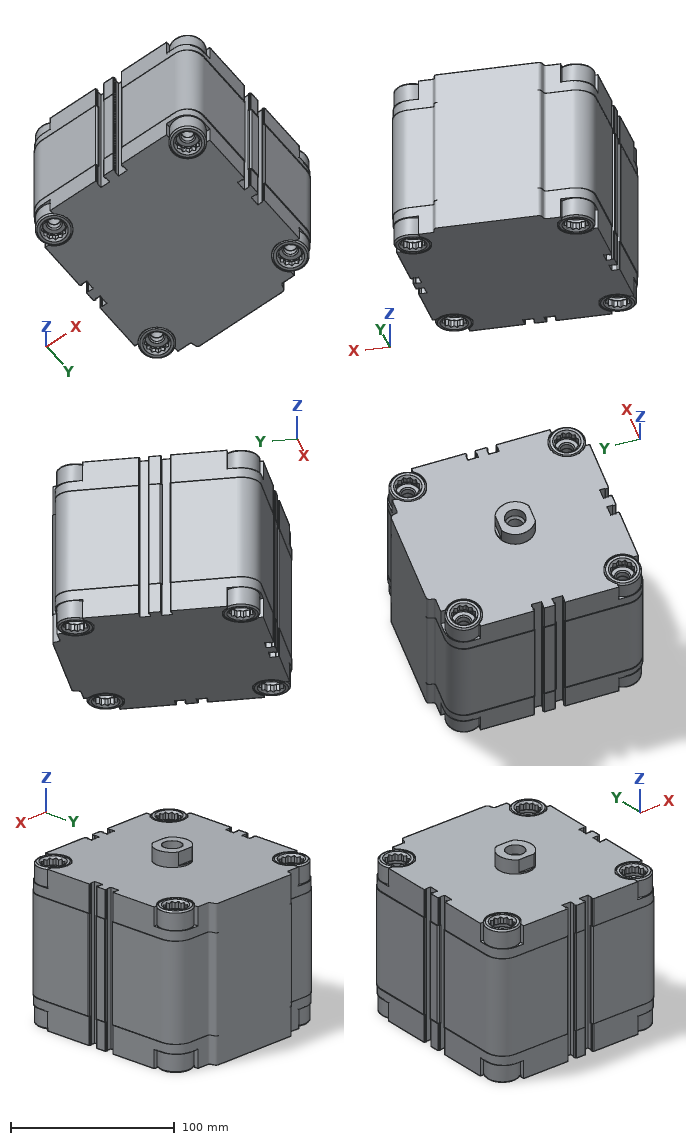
import cadquery as cq
import math

HOUSING_HEIGHT = 106.5
CAP_HEIGHT = 19.3
TUBE_HEIGHT = HOUSING_HEIGHT - 2 * CAP_HEIGHT

TUBE_HALF_X = 64.0
TUBE_HALF_Y = 63.8
CAP_HALF_X = 63.5
CAP_HALF_Y = 64.0
SCREW_OFFSET = 51.5
CORNER_RADIUS = 12.5

PAD_FACE_Y = 69.0
PAD_BASE_HALF = 34.8
PAD_TOP_HALF = 33.5
PAD_FOOT_RADIUS = 1.5
TUBE_PAD_RADIUS = 1.5
CAP_PAD_RADIUS = 2.1

SLOT_FLOOR = 58.3
LIP_BACK = 61.7
POCKET_INNER = 3.5
POCKET_OUTER = 10.1

WIDE_MOUTH = (4, 9.6)
OUTER_LIP_MOUTH = (4, 9.0)
INNER_LIP_MOUTH = (4.5, 9.6)

HEAD_DIAMETER = 23.0
HEAD_CHAMFER = 1.0
HEAD_HEIGHT = 12.6
CORNER_RECESS = 6.6
SOCKET_MOUTH_DIAMETER = 17.3
SOCKET_TIP_DIAMETER = 15.4
SOCKET_POINTS = 12
SOCKET_DEPTH = 5.7
SOCKET_FLOOR_DEPTH = 7.8
COUNTERSINK_DIAMETER = 10.1
HEAD_HOLE_DIAMETER = 8.4
SCREW_HOLE_DIAMETER = 8

ROD_DIAMETER = 25.0
ROD_PROJECTION = 10.0
ROD_DEPTH = CAP_HEIGHT
ROD_ACROSS_FLATS = 22.0
FLAT_CLEARANCE = 1.0
ROD_BORE_DIAMETER = 13.0
ROD_BORE_DEPTH = 6.4
ROD_HOLE_DIAMETER = 10.1
ROD_HOLE_DEPTH = 21.3
DRILL_POINT_ANGLE = 118

EXTRA = 1.3


def cone(bottom_radius, top_radius, height, bottom_z):
    solid = cq.Solid.makeCone(bottom_radius, top_radius, height, cq.Vector(0, 0, bottom_z))
    return cq.Workplane(obj=solid)


def disc(diameter, bottom_z, height):
    return cq.Workplane().workplane(offset=bottom_z).circle(diameter / 2).extrude(height)


def pad(base_y, top_radius, height):
    """Raised pad on the +Y side, with sloping flanks and rounded edges."""
    block = (
        cq.Workplane()
        .polyline([
            (-PAD_BASE_HALF, base_y),
            (-PAD_TOP_HALF, PAD_FACE_Y),
            (PAD_TOP_HALF, PAD_FACE_Y),
            (PAD_BASE_HALF, base_y),
            (PAD_BASE_HALF, 0),
            (-PAD_BASE_HALF, 0),
        ])
        .close()
        .extrude(height)
    )
    return block.edges("|Z and >Y").fillet(top_radius)


def slot(half_width, mouth, height):
    """T-slot in the -Y side, right of the center line, with rounded lips at its mouth."""
    inner, outer = mouth
    inner_radius = inner - POCKET_INNER
    outer_radius = POCKET_OUTER - outer
    face = -half_width
    outside = face - EXTRA
    return (
        cq.Workplane()
        .moveTo(POCKET_INNER, outside)
        .lineTo(POCKET_INNER, face)
        .radiusArc((inner, face + inner_radius), inner_radius)
        .lineTo(inner, -LIP_BACK)
        .lineTo(POCKET_INNER, -LIP_BACK)
        .lineTo(POCKET_INNER, -SLOT_FLOOR)
        .lineTo(POCKET_OUTER, -SLOT_FLOOR)
        .lineTo(POCKET_OUTER, -LIP_BACK)
        .lineTo(outer, -LIP_BACK)
        .lineTo(outer, face + outer_radius)
        .radiusArc((POCKET_OUTER, face), outer_radius)
        .lineTo(POCKET_OUTER, outside)
        .close()
        .extrude(height)
    )


def section(half_x, half_y, corner_radius, pad_radius, front_mouth, side_mouths, height):
    """A length of the housing profile: rounded square, pad and slots."""
    profile = (
        cq.Workplane()
        .rect(2 * half_x, 2 * half_y)
        .extrude(height)
        .edges("|Z")
        .fillet(corner_radius)
        .union(pad(half_y, pad_radius, height))
    )
    for side in (-1, 1):
        foot = cq.selectors.NearestToPointSelector((side * PAD_BASE_HALF, half_y, height / 2))
        profile = profile.edges("|Z").edges(foot).fillet(PAD_FOOT_RADIUS)
    front_slot = slot(half_y, front_mouth, height)
    profile = profile.cut(front_slot).cut(front_slot.mirror("YZ"))
    for side, mouth in zip((-1, 1), side_mouths):
        right_slot = slot(half_x, mouth, height).rotate((0, 0, 0), (0, 0, 1), 90)
        if side < 0:
            right_slot = right_slot.mirror("XZ")
        profile = profile.cut(right_slot).cut(right_slot.mirror("YZ"))
    return profile


def corner_recess():
    """Space around a screw head at the (+X, +Y) corner of the top cap."""
    size = TUBE_HALF_X - SCREW_OFFSET + CORNER_RECESS + EXTRA
    start = SCREW_OFFSET - CORNER_RECESS
    floor_z = HOUSING_HEIGHT - HEAD_HEIGHT
    bore = disc(HEAD_DIAMETER, floor_z, HEAD_HEIGHT).translate((SCREW_OFFSET, SCREW_OFFSET, 0))
    box = cq.Workplane().box(size, size, HEAD_HEIGHT, centered=False).translate((start, start, floor_z))
    return bore.union(box)


def socket():
    """Twelve-point socket with a bevelled mouth and a countersunk floor hole."""
    tip_radius = SOCKET_TIP_DIAMETER / 2
    valley_radius = tip_radius * math.cos(math.radians(30)) / math.cos(math.radians(15))
    points = []
    for i in range(2 * SOCKET_POINTS):
        angle = math.pi * i / SOCKET_POINTS
        radius = tip_radius if i % 2 == 0 else valley_radius
        points.append((radius * math.cos(angle), radius * math.sin(angle)))
    top = HOUSING_HEIGHT
    star = cq.Workplane().workplane(offset=top - SOCKET_DEPTH).polyline(points).close().extrude(SOCKET_DEPTH)
    mouth_radius = SOCKET_MOUTH_DIAMETER / 2
    bevel = mouth_radius - valley_radius
    mouth = cone(valley_radius, mouth_radius, bevel, top - bevel)
    floor_z = top - SOCKET_FLOOR_DEPTH
    floor = disc(SOCKET_TIP_DIAMETER, floor_z, SOCKET_FLOOR_DEPTH - SOCKET_DEPTH)
    sink = (COUNTERSINK_DIAMETER - HEAD_HOLE_DIAMETER) / 2
    countersink = cone(HEAD_HOLE_DIAMETER / 2, COUNTERSINK_DIAMETER / 2, sink, floor_z - sink)
    hole = disc(HEAD_HOLE_DIAMETER, top - HEAD_HEIGHT, HEAD_HEIGHT)
    return star.union(mouth).union(floor).union(countersink).union(hole)


def screw_head():
    """Chamfered screw head, flush with the top face."""
    head = disc(HEAD_DIAMETER, HOUSING_HEIGHT - HEAD_HEIGHT, HEAD_HEIGHT)
    return head.faces(">Z").edges().chamfer(HEAD_CHAMFER).cut(socket())


def rod_blank():
    return disc(ROD_DIAMETER, HOUSING_HEIGHT - ROD_DEPTH, ROD_DEPTH + ROD_PROJECTION)


def make_housing():
    cap = section(CAP_HALF_X, CAP_HALF_Y, CORNER_RADIUS, CAP_PAD_RADIUS,
                  WIDE_MOUTH, (WIDE_MOUTH, WIDE_MOUTH), CAP_HEIGHT)
    tube = section(TUBE_HALF_X, TUBE_HALF_Y, CORNER_RADIUS, TUBE_PAD_RADIUS,
                   OUTER_LIP_MOUTH, (INNER_LIP_MOUTH, WIDE_MOUTH), TUBE_HEIGHT)
    body = (
        tube.translate((0, 0, CAP_HEIGHT))
        .union(cap)
        .union(cap.translate((0, 0, HOUSING_HEIGHT - CAP_HEIGHT)))
    )
    recess = corner_recess()
    head = screw_head()
    middle = (0, 0, HOUSING_HEIGHT / 2)
    for side_x in (-1, 1):
        for side_y in (-1, 1):
            place = (side_x * SCREW_OFFSET, side_y * SCREW_OFFSET, 0)
            corner = recess
            if side_x < 0:
                corner = corner.mirror("YZ")
            if side_y < 0:
                corner = corner.mirror("XZ")
            top_head = head.translate(place)
            body = body.cut(corner).cut(corner.mirror("XY", middle))
            body = body.cut(disc(SCREW_HOLE_DIAMETER, 0, HOUSING_HEIGHT).translate(place))
            body = body.union(top_head).union(top_head.mirror("XY", middle))
    return body.cut(rod_blank())


def make_rod():
    rod = rod_blank()
    top = HOUSING_HEIGHT + ROD_PROJECTION
    flat_height = ROD_PROJECTION - FLAT_CLEARANCE
    for side in (-1, 1):
        cutter = cq.Workplane().box(ROD_DIAMETER, ROD_DIAMETER, flat_height, centered=(True, True, False))
        flat_y = side * (ROD_ACROSS_FLATS + ROD_DIAMETER) / 2
        rod = rod.cut(cutter.translate((0, flat_y, top - flat_height)))
    bore_floor = top - ROD_BORE_DEPTH
    step = (ROD_BORE_DIAMETER - ROD_HOLE_DIAMETER) / 2
    hole_floor = top - ROD_HOLE_DEPTH
    point = ROD_HOLE_DIAMETER / 2 / math.tan(math.radians(DRILL_POINT_ANGLE / 2))
    return (
        rod.cut(disc(ROD_BORE_DIAMETER, bore_floor, ROD_BORE_DEPTH))
        .cut(cone(ROD_HOLE_DIAMETER / 2, ROD_BORE_DIAMETER / 2, step, bore_floor - step))
        .cut(disc(ROD_HOLE_DIAMETER, hole_floor, ROD_HOLE_DEPTH))
        .cut(cone(0, ROD_HOLE_DIAMETER / 2, point, hole_floor - point))
    )


housing = make_housing()
rod = make_rod()
result = cq.Compound.makeCompound([housing.val(), rod.val()])